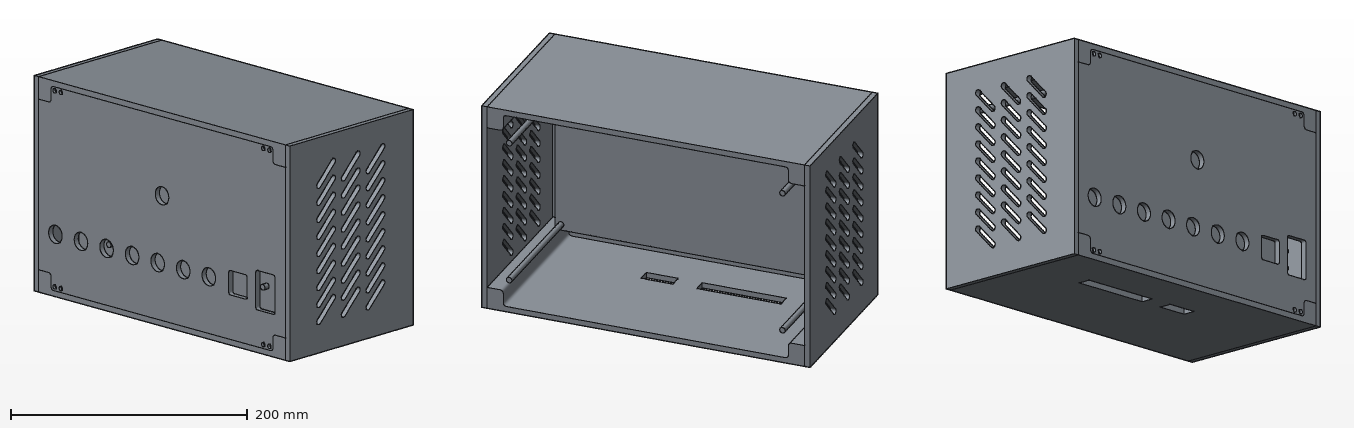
import cadquery as cq


WIDTH = 300.0
DEPTH = 150.0
HEIGHT = 190.0
WALL = 5.0
INNER_WIDTH = WIDTH - 2 * WALL
INNER_HEIGHT = HEIGHT - 2 * WALL

RAIL_SIZE = 14.7
RAIL_FILLET = 3.0
RAIL_INNER_X = INNER_WIDTH / 2 - RAIL_SIZE

VENT_LENGTH = 30.0
VENT_WIDTH = 5.0
VENT_ANGLE = 45
VENT_COLUMNS = 3
VENT_ROWS = 9
VENT_COLUMN_PITCH = 30.0
VENT_ROW_PITCH = 15.0
VENT_CENTRE_Y = 74.0
VENT_CENTRE_Z = 1.5

FLOOR_WINDOWS = [(-85.0, -8.0), (13.8, 43.0)]
FLOOR_WINDOW_FRONT_Y = 45.0
FLOOR_WINDOW_BACK_Y = 56.7

PANEL_THICKNESS = WALL
PORT_DIAMETER = 16.0
PORT_COUNT = 7
PORT_PITCH = 30.0
FIRST_PORT_X = -125.0
PORT_Z = -40.0
UPPER_PORT_Z = 20.0
SQUARE_OPENING = 21.5
SQUARE_OPENING_X = 89.0
RECTANGLE_WIDTH = 22.5
RECTANGLE_HEIGHT = 34.8
RECTANGLE_X = 121.2
OPENING_FILLET = 2.0

SCREW_DIAMETER = 4.0
SCREW_DEPTH = PANEL_THICKNESS / 2
SCREW_OUTER_X = 126.0
SCREW_PITCH = 7.2
SCREW_Z = 86.5

PLATE_Y = 34.0
PLATE_THICKNESS = 1.5
PLATE_WIDTH = 2 * RAIL_INNER_X
PLATE_HEIGHT = 139.8
ROD_DIAMETER = 5.0
ROD_X = 124.8
ROD_Z = 64.5
BOSS_DIAMETER = 5.0
BOSS_HEIGHT = 5.0
BOSS_X = 90.3
BOSS_Z = 48.0


def box(x_range, y_range, z_range):
    """Box that spans the given ranges."""
    size = [high - low for low, high in (x_range, y_range, z_range)]
    corner = cq.Vector(x_range[0], y_range[0], z_range[0])
    return cq.Workplane("XY").box(*size, centered=False).translate(corner)


def cross_section(y):
    """Workplane at depth y whose local axes are X and Z and whose extrusions run toward -Y."""
    return cq.Workplane("XZ", origin=(0, y, 0))


def cylinders(points, diameter, front_y, back_y):
    """Cylinders along Y, centred on the given (x, z) points."""
    return cross_section(back_y).pushPoints(points).circle(diameter / 2).extrude(back_y - front_y)


def four_corners(x, z):
    """The (x, z) points mirrored into all four quadrants."""
    return [(side * x, level * z) for side in (-1, 1) for level in (-1, 1)]


def cavity(length):
    """Cross-shaped space between the rails, from the front face back over the given length."""
    centre = cross_section(length).rect(2 * RAIL_INNER_X, INNER_HEIGHT).extrude(length)
    arms = cross_section(length).rect(INNER_WIDTH, INNER_HEIGHT - 2 * RAIL_SIZE).extrude(length)
    cross = centre.union(arms)
    beside_rails = cross.edges("|Y").filter(lambda edge: abs(edge.Center().x) < INNER_WIDTH / 2 - RAIL_FILLET)
    return beside_rails.fillet(RAIL_FILLET)


def make_side_panel(side):
    """Side panel at -X (side = -1) or +X (side = 1) with rows of slanted vents."""
    centre_x = side * (WIDTH - WALL) / 2
    panel = cq.Workplane("XY").box(WALL, DEPTH, HEIGHT).translate((centre_x, DEPTH / 2, 0))
    vents = (
        cq.Workplane("YZ", origin=(centre_x, VENT_CENTRE_Y, VENT_CENTRE_Z))
        .rarray(VENT_COLUMN_PITCH, VENT_ROW_PITCH, VENT_COLUMNS, VENT_ROWS)
        .slot2D(VENT_LENGTH, VENT_WIDTH, VENT_ANGLE)
        .extrude(WALL, both=True)
    )
    return panel.cut(vents)


def make_cover(level):
    """Top (level = 1) or bottom (level = -1) panel with its rails along both sides."""
    cover_height = WALL + RAIL_SIZE
    block = cq.Workplane("XY").box(INNER_WIDTH, DEPTH, cover_height)
    block = block.translate((0, DEPTH / 2, level * (HEIGHT - cover_height) / 2))
    return block.cut(cavity(DEPTH))


def make_bottom():
    """Bottom panel with two windows through its floor."""
    bottom = make_cover(-1)
    for window_x in FLOOR_WINDOWS:
        window_y = (FLOOR_WINDOW_FRONT_Y, FLOOR_WINDOW_BACK_Y)
        bottom = bottom.cut(box(window_x, window_y, (-HEIGHT / 2, -INNER_HEIGHT / 2)))
    return bottom


def rounded_opening(x, z, width, height):
    """Cutter for a rectangular opening with rounded corners through the front panel."""
    opening = cross_section(PANEL_THICKNESS).center(x, z).rect(width, height).extrude(PANEL_THICKNESS)
    return opening.edges("|Y").fillet(OPENING_FILLET)


def make_front_panel():
    """Front panel that fills the space between the rails."""
    ports = [(FIRST_PORT_X + i * PORT_PITCH, PORT_Z) for i in range(PORT_COUNT)]
    ports.append((0, UPPER_PORT_Z))
    screws = four_corners(SCREW_OUTER_X, SCREW_Z) + four_corners(SCREW_OUTER_X - SCREW_PITCH, SCREW_Z)
    return (
        cavity(PANEL_THICKNESS)
        .cut(cylinders(ports, PORT_DIAMETER, 0, PANEL_THICKNESS))
        .cut(cylinders(screws, SCREW_DIAMETER, 0, SCREW_DEPTH))
        .cut(rounded_opening(SQUARE_OPENING_X, PORT_Z, SQUARE_OPENING, SQUARE_OPENING))
        .cut(rounded_opening(RECTANGLE_X, PORT_Z, RECTANGLE_WIDTH, RECTANGLE_HEIGHT))
    )


def make_mounting_plate():
    """Upright plate on four rods that reach from the front panel to the open back."""
    plate_back = PLATE_Y + PLATE_THICKNESS
    plate = cross_section(plate_back).rect(PLATE_WIDTH, PLATE_HEIGHT).extrude(PLATE_THICKNESS)
    rods = cylinders(four_corners(ROD_X, ROD_Z), ROD_DIAMETER, PANEL_THICKNESS, DEPTH)
    bosses = cylinders(four_corners(BOSS_X, BOSS_Z), BOSS_DIAMETER, PLATE_Y - BOSS_HEIGHT, PLATE_Y)
    return plate.union(rods).union(bosses)


side_panels = [make_side_panel(side) for side in (-1, 1)]
top_panel = make_cover(1)
bottom_panel = make_bottom()
front_panel = make_front_panel()
mounting_plate = make_mounting_plate()

result = cq.Compound.makeCompound([
    *[panel.val() for panel in side_panels],
    top_panel.val(),
    bottom_panel.val(),
    front_panel.val(),
    mounting_plate.val(),
])